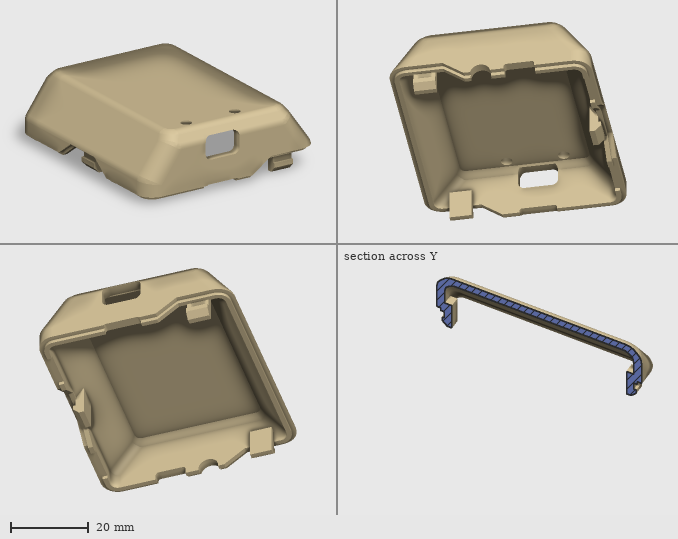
import cadquery as cq
import math

LENGTH = 59.97
WIDTH = 52.67
HEIGHT = 16.1
HOOK_DROP = 1.7

TOP_LENGTH = 54.7
TOP_WIDTH = 36.44
END_BEND_Z = 12.6
SIDE_BEND_Z = 4.7
CORNER_RADIUS = 4.57
EDGE_RADIUS = 2.5

WALL = 2.5
LIP_INSET = 1.25
LIP_DROP = 0.95

RAISE_Z = 4.06
RAISE_RUN = 5.55
BACK_RAISE_START_Y = 6.3
FRONT_RAISE_HALF = 11.05

LIP_GAP_INNER_X = 13.36
LIP_GAP_OUTER_X = 23.2

HOOK_WIDTH = 5.8
HOOK_INNER_INSET = 4.57
STEM_OUTER_INSET = 2.3
HOOK_TIP_INSET = 1.6
HOOK_LEDGE_Z = 1.14
HOOK_CHAMFER_Z = -0.14
HOOK_ROOT_Z = 6.5
SIDE_HOOK_Y = 16.87

LED_DIAMETER = 3.02
LED_X = 24.1
LED_Y = -2.85
LED_SPACING = 14.9
PORT_Y = -3.0
PORT_WIDTH = 10.4
PORT_TOP_Z = 13.5
PORT_FLOOR_Z = 7.0
PORT_RADIUS = 1.7
PORT_NOTCH_WIDTH = 9.8
PORT_NOTCH_TOP_Z = 0.27
PORT_NOTCH_RADIUS = 0.7
CABLE_Y = 2.0
CABLE_RADIUS = 2.65
CABLE_TOP_Z = 2.1
SWITCH_Y = -8.16
SWITCH_WIDTH = 7.98
SWITCH_TOP_Z = 1.37
SWITCH_RADIUS = 0.7

FLAT = 0.01
BELOW = 5.0
WALL_REACH = 7.0


def leaning_outline(plane, half_base, half_top, bend_z, inset):
    """Closed section of a wall pair, offset inward by inset."""
    lean = math.atan2(half_base - half_top, HEIGHT - bend_z)
    bend_shift = inset * math.tan(lean / 2)
    top_shift = inset * math.tan((math.pi / 2 - lean) / 2)
    base = half_base - inset
    top = half_top - top_shift
    bend = bend_z - bend_shift
    roof = HEIGHT - inset
    return (
        cq.Workplane(plane)
        .polyline([(-base, -BELOW), (base, -BELOW), (base, bend), (top, roof), (-top, roof), (-base, bend)])
        .close()
    )


def envelope(inset):
    """Sharp-edged cover shape, offset inward by inset."""
    ends = leaning_outline("XZ", LENGTH / 2, TOP_LENGTH / 2, END_BEND_Z, inset)
    sides = leaning_outline("YZ", WIDTH / 2, TOP_WIDTH / 2, SIDE_BEND_Z, inset)
    return ends.extrude(WIDTH / 2, both=True).intersect(sides.extrude(LENGTH / 2, both=True))


def round_corners(body, radius):
    """Round the edges that climb the four corners."""
    climbing = [e for e in body.edges().vals() if e.BoundingBox().zlen > FLAT]
    return body.newObject(climbing).fillet(radius)


def round_level_edges(body):
    """Round the level edges around the top face and along the wall bends."""
    level = [e for e in body.edges().vals() if e.BoundingBox().zlen < FLAT and e.Center().z > 0]
    return body.newObject(level).fillet(EDGE_RADIUS)


def below_rim(drop):
    """Space under the rim, lowered by drop, with the raised back and front stretches."""
    floor = -BELOW - LIP_DROP
    low = -drop
    high = RAISE_Z - drop
    back_slope_end = BACK_RAISE_START_Y + RAISE_RUN
    front_slope_end = FRONT_RAISE_HALF - RAISE_RUN
    back = (
        cq.Workplane("YZ")
        .polyline([
            (-WIDTH, floor), (WIDTH, floor), (WIDTH, high),
            (back_slope_end, high), (BACK_RAISE_START_Y, low), (-WIDTH, low),
        ])
        .close()
        .extrude(LENGTH, both=True)
    )
    front = (
        cq.Workplane("XZ")
        .polyline([
            (-FRONT_RAISE_HALF, low), (-front_slope_end, high),
            (front_slope_end, high), (FRONT_RAISE_HALF, low),
            (FRONT_RAISE_HALF, floor), (-FRONT_RAISE_HALF, floor),
        ])
        .close()
        .extrude(WIDTH)
    )
    return back.union(front)


def make_cover():
    """Hollow cover with a thinner lip hanging from the inner half of its wall."""
    outer = round_level_edges(round_corners(envelope(0), CORNER_RADIUS))
    lip_core = round_corners(envelope(LIP_INSET), CORNER_RADIUS - LIP_INSET)
    cavity = round_corners(envelope(WALL), CORNER_RADIUS - WALL)
    wall = outer.cut(below_rim(0))
    lip = lip_core.intersect(below_rim(0)).cut(below_rim(LIP_DROP))
    return wall.union(lip).cut(cavity)


def lip_gap(side):
    """Cutter for one gap in the lip of the -Y side."""
    length = LIP_GAP_OUTER_X - LIP_GAP_INNER_X
    middle = side * (LIP_GAP_OUTER_X + LIP_GAP_INNER_X) / 2
    gap = cq.Workplane("XY").box(length, WALL_REACH, BELOW, centered=(True, False, False))
    return gap.translate((middle, -WIDTH / 2, -BELOW))


def hook(wall_distance):
    """Snap hook that faces +X, hung inside a wall at X = wall_distance."""
    inner = wall_distance - HOOK_INNER_INSET
    stem = wall_distance - STEM_OUTER_INSET
    tip = wall_distance - HOOK_TIP_INSET
    chamfer = HOOK_CHAMFER_Z + HOOK_DROP
    return (
        cq.Workplane("XZ")
        .polyline([
            (inner, HOOK_ROOT_Z), (stem, HOOK_ROOT_Z), (stem, HOOK_LEDGE_Z), (tip, HOOK_LEDGE_Z),
            (tip, HOOK_CHAMFER_Z), (tip - chamfer, -HOOK_DROP), (inner, -HOOK_DROP),
        ])
        .close()
        .extrude(HOOK_WIDTH / 2, both=True)
    )


def end_opening(side, y, width, bottom, top, radius, edges):
    """Rounded opening through the wall of the +X (side = 1) or -X (side = -1) end."""
    opening = cq.Workplane("XY").box(WALL_REACH, width, top - bottom).edges(edges).fillet(radius)
    return opening.translate((side * LENGTH / 2, y, (top + bottom) / 2))


def led_holes():
    return (
        cq.Workplane("XY")
        .pushPoints([(LED_X, LED_Y + side * LED_SPACING / 2) for side in (-1, 1)])
        .circle(LED_DIAMETER / 2)
        .extrude(HEIGHT + EDGE_RADIUS)
    )


def cable_notch():
    """Round-topped cable opening at the -X end."""
    axis_z = CABLE_TOP_Z - CABLE_RADIUS
    arch = cq.Workplane("YZ").center(CABLE_Y, axis_z).circle(CABLE_RADIUS)
    return arch.extrude(WALL_REACH / 2, both=True).translate((-LENGTH / 2, 0, 0))


cover = make_cover()
for side in (-1, 1):
    cover = cover.cut(lip_gap(side))

cover = cover.cut(end_opening(1, PORT_Y, PORT_WIDTH, PORT_FLOOR_Z, PORT_TOP_Z, PORT_RADIUS, "|X"))
cover = cover.cut(
    end_opening(1, PORT_Y, PORT_NOTCH_WIDTH, -BELOW, PORT_NOTCH_TOP_Z, PORT_NOTCH_RADIUS, "|X and >Z")
)
cover = cover.cut(end_opening(-1, SWITCH_Y, SWITCH_WIDTH, -BELOW, SWITCH_TOP_Z, SWITCH_RADIUS, "|X and >Z"))
cover = cover.cut(cable_notch())
cover = cover.cut(led_holes())

end_hook = hook(LENGTH / 2).translate((0, SIDE_HOOK_Y, 0))
side_hook = hook(WIDTH / 2).rotate((0, 0, 0), (0, 0, 1), -90)
cover = cover.union(end_hook).union(end_hook.mirror("YZ")).union(side_hook)

result = cover